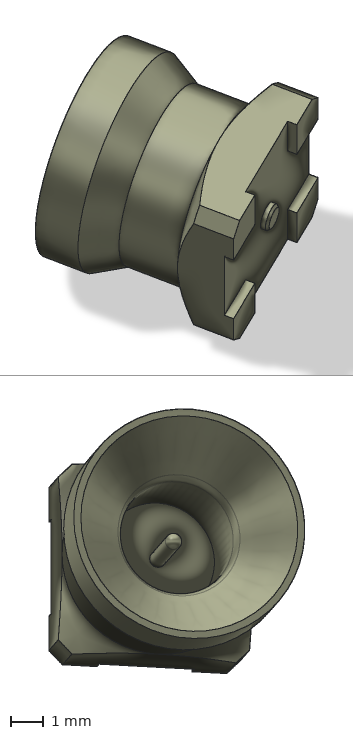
import cadquery as cq
import math

length = 6.45
flange_radius = 3.63
flange_end = 1.45
taper_end = 2.55
body_radius = 3.005
block_start = 4.54
corner_chamfer = 0.43
block_cone_angle = 60.0

mouth_radius = 3.405
bore_radius = 1.78
throat_round = 0.47
bore_depth = 4.54

slot_depth = 0.31
slot_width = 2.99

front_pin_radius = 0.255
front_pin_tip = 2.03
rear_pin_radius = 0.44
rear_pin_end = 6.39
rear_pin_chamfer = 0.09


def revolve_about_x(profile):
    """Revolve a closed (x, radius) profile around the X axis."""
    return profile.close().revolve(360, (0, 0, 0), (1, 0, 0))


def make_barrel():
    """Flange, taper and cylindrical neck."""
    return revolve_about_x(
        cq.Workplane("XY")
        .lineTo(0, flange_radius)
        .lineTo(flange_end, flange_radius)
        .lineTo(taper_end, body_radius)
        .lineTo(block_start, body_radius)
        .lineTo(block_start, 0)
    )


def make_block():
    """Square block with bevelled corners and a conically turned front."""
    block_length = length - block_start
    block = (
        cq.Workplane("YZ", origin=(block_start, 0, 0))
        .rect(2 * body_radius, 2 * body_radius)
        .extrude(block_length)
        .edges("|X")
        .chamfer(corner_chamfer)
    )
    rear_radius = body_radius + block_length * math.tan(math.radians(block_cone_angle))
    cone = revolve_about_x(
        cq.Workplane("XY")
        .moveTo(block_start, 0)
        .lineTo(block_start, body_radius)
        .lineTo(length, rear_radius)
        .lineTo(length, 0)
    )
    return block.intersect(cone)


def make_bore():
    """45 degree funnel blending through a rounded throat into a blind bore."""
    diagonal = math.sqrt(0.5)
    round_start_radius = bore_radius + throat_round * (1 - diagonal)
    round_start = mouth_radius - round_start_radius
    round_end = round_start + throat_round * diagonal
    half_sweep = math.radians(45 / 2)
    round_middle = (
        round_end - throat_round * math.sin(half_sweep),
        bore_radius + throat_round * (1 - math.cos(half_sweep)),
    )
    return revolve_about_x(
        cq.Workplane("XY")
        .lineTo(0, mouth_radius)
        .lineTo(round_start, round_start_radius)
        .threePointArc(round_middle, (round_end, bore_radius))
        .lineTo(bore_depth, bore_radius)
        .lineTo(bore_depth, 0)
    )


def make_rear_slots():
    """Two crossing channels in the rear face."""
    across = 2 * body_radius
    rear = cq.Workplane("YZ", origin=(length - slot_depth, 0, 0))
    slot_y = rear.rect(across, slot_width).extrude(slot_depth)
    slot_z = rear.rect(slot_width, across).extrude(slot_depth)
    return slot_y.union(slot_z)


def make_front_pin():
    """Contact pin with a hemispherical tip, standing on the bore floor."""
    dome_base = front_pin_tip + front_pin_radius
    dome_offset = front_pin_radius * math.sqrt(0.5)
    return revolve_about_x(
        cq.Workplane("XY")
        .moveTo(front_pin_tip, 0)
        .threePointArc((dome_base - dome_offset, dome_offset), (dome_base, front_pin_radius))
        .lineTo(bore_depth, front_pin_radius)
        .lineTo(bore_depth, 0)
    )


def make_rear_pin():
    """Short terminal with a chamfered end, rooted in the block."""
    return (
        cq.Workplane("YZ", origin=(bore_depth, 0, 0))
        .circle(rear_pin_radius)
        .extrude(rear_pin_end - bore_depth)
        .faces(">X")
        .chamfer(rear_pin_chamfer)
    )


body = make_barrel().union(make_block())
body = body.cut(make_bore()).cut(make_rear_slots())
result = body.union(make_front_pin()).union(make_rear_pin())